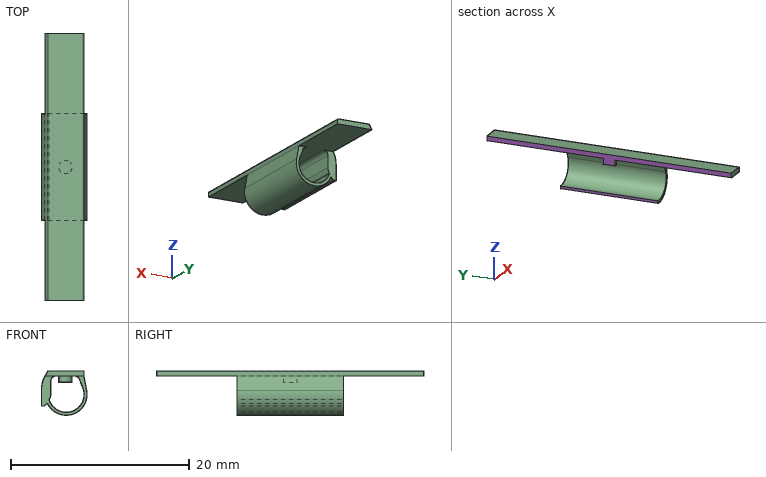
import cadquery as cq
import math

ring_inner_radius = 2.0
ring_wall = 0.35
ring_outer_radius = ring_inner_radius + ring_wall

overall_width = 5.14
overall_height = 5.01
clip_length = 12.0

plate_length = 30.0
plate_thickness = 0.6
plate_edge_fillet = 0.1
plate_bevel_angle = math.radians(30)
plate_right = 2.0
plate_top = overall_height - ring_outer_radius
plate_bottom = plate_top - plate_thickness
plate_left = -2.4
plate_top_left = plate_left + plate_thickness * math.tan(plate_bevel_angle)

wall_left = ring_outer_radius - overall_width
wall_inner = -1.72
wall_straight_top = 0.59
wall_foot = -1.3
wall_foot_right = -2.43
wall_inner_bottom = 0.05
notch_x = -2.13
ring_start_x = -1.91

right_wall_lean = math.radians(22)
inner_fillet = 0.55

peg_diameter = 1.5
peg_length = 0.7
peg_x = -0.1


def lower_point(radius, x):
    """Point at x on the lower half of a circle about the ring axis."""
    return (x, -math.sqrt(radius**2 - x**2))


def polar_point(radius, angle):
    return (radius * math.cos(angle), radius * math.sin(angle))


def extrude_centered(profile, length):
    """Extrude an XZ profile equally to both sides of the XZ plane."""
    return profile.extrude(length / 2, both=True)


def make_plate():
    """Plate with a slanted left side and both long top edges rounded."""
    corners = [
        (plate_left, plate_bottom),
        (plate_right, plate_bottom),
        (plate_right, plate_top),
        (plate_top_left, plate_top),
    ]
    plate = extrude_centered(cq.Workplane("XZ").polyline(corners).close(), plate_length)
    return plate.faces(">Z").edges("|Y").fillet(plate_edge_fillet)


def make_clip_body():
    """Clip filled to its outer outline."""
    corner_angle = math.atan2(plate_bottom, plate_right)
    corner_distance = math.hypot(plate_right, plate_bottom)
    tangent_angle = corner_angle - math.acos(ring_outer_radius / corner_distance)
    profile = (
        cq.Workplane("XZ")
        .moveTo(plate_left, plate_bottom)
        .lineTo(plate_right, plate_bottom)
        .lineTo(*polar_point(ring_outer_radius, tangent_angle))
        .threePointArc((0, -ring_outer_radius), lower_point(ring_outer_radius, notch_x))
        .lineTo(wall_foot_right, wall_foot)
        .lineTo(wall_left, wall_foot)
        .lineTo(wall_left, wall_straight_top)
        .tangentArcPoint((plate_left, plate_bottom), relative=False)
        .close()
    )
    return extrude_centered(profile, clip_length)


def make_clip_opening():
    """Space inside the clip, with both upper corners rounded."""
    lean_start_x, lean_start_z = polar_point(ring_inner_radius, right_wall_lean)
    ceiling_right = lean_start_x - (plate_bottom - lean_start_z) * math.tan(right_wall_lean)
    profile = (
        cq.Workplane("XZ")
        .moveTo(wall_inner, plate_bottom)
        .lineTo(wall_inner, wall_inner_bottom)
        .tangentArcPoint(lower_point(ring_inner_radius, ring_start_x), relative=False)
        .threePointArc((0, -ring_inner_radius), (lean_start_x, lean_start_z))
        .lineTo(ceiling_right, plate_bottom)
        .close()
    )
    opening = extrude_centered(profile, clip_length)
    return opening.faces(">Z").edges("|Y").fillet(inner_fillet)


def make_peg():
    """Round peg hanging from the underside of the plate, rooted in the plate."""
    return (
        cq.Workplane("XY", origin=(peg_x, 0, plate_bottom - peg_length))
        .circle(peg_diameter / 2)
        .extrude(peg_length + plate_thickness / 2)
    )


clip = make_clip_body().cut(make_clip_opening())
result = make_plate().union(clip).union(make_peg())